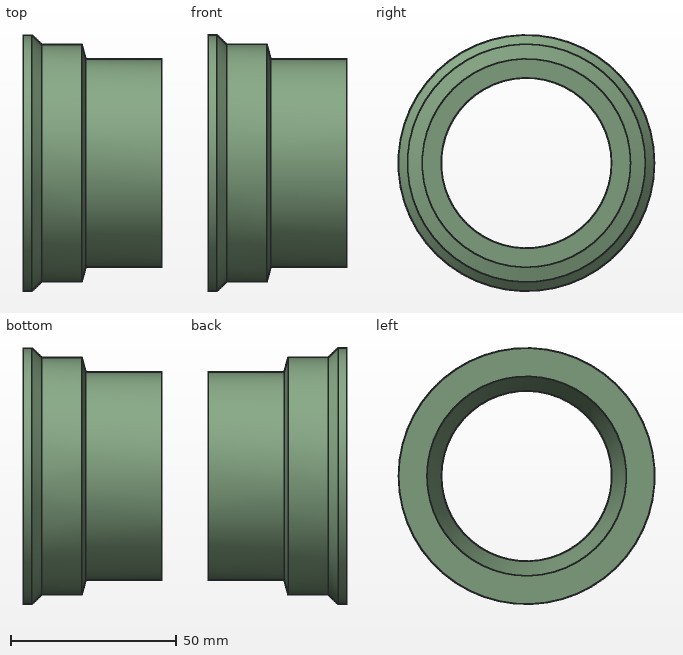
import cadquery as cq

flange_rim_end = 2.7
flange_taper_end = 5.6
collar_end = 17.8
shoulder_end = 19.0
total_length = 42.0
bore_taper_end = 16.2

flange_diameter = 77.5
collar_diameter = 71.9
spigot_diameter = 63.0
bore_mouth_diameter = 60.3
bore_diameter = 51.4


def revolve_about_x(profile):
    """Revolve a closed (x, diameter) profile a full turn about the X axis."""
    points = [(x, diameter / 2) for x, diameter in profile]
    return cq.Workplane("XY").polyline(points).close().revolve(360, (0, 0, 0), (1, 0, 0))


def stepped_body():
    """Flange with a tapered back, collar, sloped shoulder and spigot."""
    return revolve_about_x([
        (0, 0),
        (0, flange_diameter),
        (flange_rim_end, flange_diameter),
        (flange_taper_end, collar_diameter),
        (collar_end, collar_diameter),
        (shoulder_end, spigot_diameter),
        (total_length, spigot_diameter),
        (total_length, 0),
    ])


def tapered_bore():
    """Through bore that narrows from the flange mouth to a straight hole."""
    return revolve_about_x([
        (0, 0),
        (0, bore_mouth_diameter),
        (bore_taper_end, bore_diameter),
        (total_length, bore_diameter),
        (total_length, 0),
    ])


result = stepped_body().cut(tapered_bore())